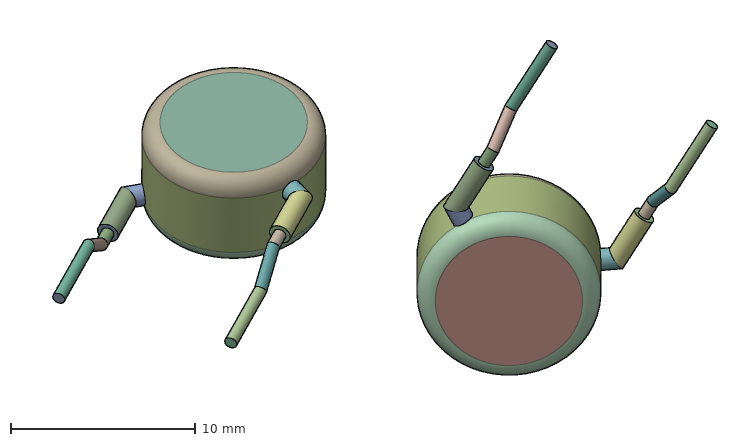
import cadquery as cq
import math

disc_diameter = 9.99
disc_height = 6.0
rim_radius = 1.0

lead_spacing = disc_diameter
lead_diameter = 0.7
sleeve_diameter = 1.2
lead_height = 1.6
elbow_y = -3.0
elbow_angle = 35.0
elbow_run = 2.59
sleeve_end_y = -6.05
first_bend_y = -7.03
second_bend_y = -9.0
lead_end_y = disc_diameter / 2 - 18.5


def sleeve_points(side):
    """Sleeve centreline; side is -1 for the low left lead, 1 for the high right lead."""
    lead_x = side * lead_spacing / 2
    z = side * lead_height
    angle = math.radians(elbow_angle)
    root_x = lead_x - side * elbow_run * math.cos(angle)
    root_y = elbow_y + elbow_run * math.sin(angle)
    return [(root_x, root_y, z), (lead_x, elbow_y, z), (lead_x, sleeve_end_y, z)]


def lead_points(side):
    """Wire centreline, along the sleeve and then down or up to the mid plane."""
    root, elbow, sleeve_end = sleeve_points(side)
    lead_x, _, z = sleeve_end
    return [
        root,
        elbow,
        (lead_x, first_bend_y, z),
        (lead_x, second_bend_y, 0),
        (lead_x, lead_end_y, 0),
    ]


def bent_rod(points, diameter):
    """Round rod with mitred corners along a chain of points."""
    path = cq.Workplane("XY").polyline(points)
    start = cq.Vector(*points[0])
    direction = cq.Vector(*points[1]) - start
    profile = cq.Workplane(cq.Plane(origin=start, xDir=(0, 0, 1), normal=direction))
    return profile.circle(diameter / 2).sweep(path, transition="right")


def make_lead(side):
    return bent_rod(lead_points(side), lead_diameter)


def make_coating(leads):
    """Rounded disc with a sleeve for each lead, and bores that the leads fill."""
    disc = cq.Workplane("XY").cylinder(disc_height, disc_diameter / 2)
    coating = disc.faces("|Z").edges().fillet(rim_radius)
    for side in (-1, 1):
        coating = coating.union(bent_rod(sleeve_points(side), sleeve_diameter))
    for lead in leads:
        coating = coating.cut(lead)
    return coating.solids()


leads = [make_lead(side) for side in (-1, 1)]
coating = make_coating(leads)

result = cq.Compound.makeCompound([coating.val(), *[lead.val() for lead in leads]])